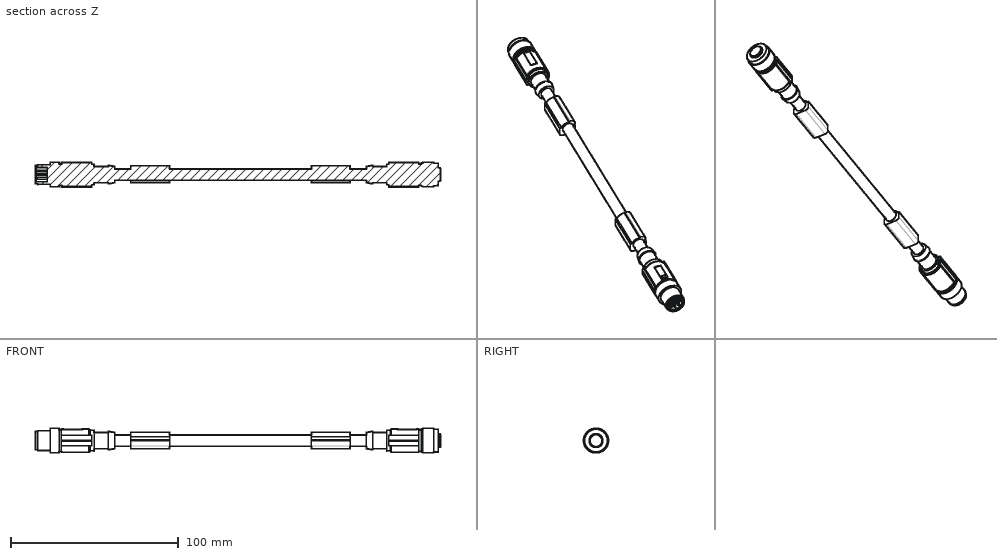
import cadquery as cq
import math


total_length = 241.3
ring_radius = 14.77 / 2
cable_radius = 3.4
cable_embed = 1.0

grip_radius = 7.0
pad_radius = 7.5
pad_half_height = 3.2
pad_groove_width = 0.6
pad_groove_depth = 0.4
pad_overhang = 1.0
grip_end_chamfer = 0.7
window_length = 11.3
window_width = 4.0
window_depth = 0.5
groove_radius = 6.4
shoulder_radius = 6.2
sleeve_radius = 4.9
collar_radius = 5.6

male_thread_radius = 6.0
male_tip_radius = 5.5
male_tip_length = 1.3
male_ring_start = 8.8
male_ring_end = 14.1
male_grip_start = 15.4
male_grip_end = 32.6
male_shoulder_end = 34.9
male_collar_start = 43.4
male_sleeve_end = 47.3
male_window_start = 16.6
arrow_length = 3.0
arrow_width = 3.0
arrow_depth = 0.4

socket_radius = 4.2
socket_depth = 7.0
pin_length = 6.0
pin_radius = 0.5
pin_circle_radius = 2.75
outer_pin_count = 7
first_pin_angle = 270.0
socket_mouth_chamfer = 0.5

female_sleeve_start = 197.1
female_collar_end = 201.0
female_shoulder_start = 209.2
female_grip_start = 211.3
female_grip_end = 228.4
female_flange_start = 229.7
female_ring_start = 230.8
female_ring_end = 237.2
female_lip_end = 240.0
female_lip_radius = 6.8
female_insert_radius = 4.1
female_insert_chamfer = 0.5
female_window_start = 215.9

holder_starts = (56.7, 164.3)
holder_length = 23.2
holder_half_height = 5.0
holder_back = 5.3
holder_front = -4.9
holder_corner_radius = 2.0
holder_label_corner_radius = 3.5
holder_barrel_radius = 4.4
holder_barrel_y = -0.7
holder_barrel_z = 1.5
holder_slot_bottom = 0.0
holder_slot_floor = -3.6
holder_slot_floor_top = 0.6
holder_slot_mouth_top = 2.5


def revolve_profile(points):
    """Turn an outline of (x, radius) points, closed along the axis, about X."""
    start_x = points[0][0]
    end_x = points[-1][0]
    outline = [(start_x, 0)] + points + [(end_x, 0)]
    return cq.Workplane("XY").polyline(outline).close().revolve(360, (0, 0, 0), (1, 0, 0))


def cylinder(start_x, end_x, radius, y=0.0, z=0.0):
    return cq.Workplane("YZ", origin=(start_x, y, z)).circle(radius).extrude(end_x - start_x)


def box(start_x, end_x, y_range, z_range):
    size_y = y_range[1] - y_range[0]
    size_z = z_range[1] - z_range[0]
    corner = (start_x, y_range[0], z_range[0])
    return cq.Workplane("XY").box(end_x - start_x, size_y, size_z, centered=False).translate(corner)


def make_grip(start_x, end_x, rear_direction, window_start):
    """Grip with raised side pads; rear_direction is +1 or -1 along X, toward the cable."""
    body = cylinder(start_x, end_x, grip_radius)
    rear_face = ">X" if rear_direction > 0 else "<X"
    body = body.faces(rear_face).chamfer(grip_end_chamfer)

    pad_start = start_x + min(0, rear_direction) * pad_overhang
    pad_end = end_x + max(0, rear_direction) * pad_overhang
    slab = box(pad_start, pad_end, (-pad_radius, pad_radius), (-pad_half_height, pad_half_height))
    grip = body.union(cylinder(pad_start, pad_end, pad_radius).intersect(slab))

    half_groove = pad_groove_width / 2
    for side in (-1, 1):
        walls = sorted((side * (pad_radius - pad_groove_depth), side * (pad_radius + pad_groove_depth)))
        grip = grip.cut(box(pad_start, pad_end, walls, (-half_groove, half_groove)))

    window_z = (grip_radius - window_depth, grip_radius + window_depth)
    half_window = window_width / 2
    window = box(window_start, window_start + window_length, (-half_window, half_window), window_z)
    return grip.cut(window)


def make_male_connector():
    body = revolve_profile([
        (0, male_tip_radius),
        (male_tip_length, male_tip_radius),
        (male_tip_length, male_thread_radius),
        (male_ring_start, male_thread_radius),
        (male_ring_start, ring_radius),
        (male_ring_end, ring_radius),
        (male_ring_end, groove_radius),
        (male_grip_end, groove_radius),
        (male_grip_end, shoulder_radius),
        (male_shoulder_end, shoulder_radius),
        (male_shoulder_end, sleeve_radius),
        (male_collar_start, sleeve_radius),
        (male_collar_start, collar_radius),
        (male_sleeve_end, sleeve_radius),
    ])
    grip = make_grip(male_grip_start, male_grip_end, 1, male_window_start)
    return cut_pin_socket(cut_arrow(body.union(grip)))


def cut_arrow(body):
    """Triangle sunk into the window floor, pointing at the male tip."""
    arrow_floor = grip_radius - window_depth - arrow_depth
    base_x = male_window_start + arrow_length
    outline = [
        (male_window_start, 0),
        (base_x, -arrow_width / 2),
        (base_x, arrow_width / 2),
    ]
    floor_plane = cq.Workplane("XY", origin=(0, 0, arrow_floor))
    arrow = floor_plane.polyline(outline).close().extrude(window_depth + arrow_depth)
    return body.cut(arrow)


def cut_pin_socket(body):
    body = body.cut(revolve_profile([
        (0, socket_radius + socket_mouth_chamfer),
        (socket_mouth_chamfer, socket_radius),
        (socket_depth, socket_radius),
    ]))
    pin_start = socket_depth - pin_length
    body = body.union(cylinder(pin_start, socket_depth, pin_radius))
    for index in range(outer_pin_count):
        angle = math.radians(first_pin_angle + index * 360 / outer_pin_count)
        y = pin_circle_radius * math.cos(angle)
        z = pin_circle_radius * math.sin(angle)
        body = body.union(cylinder(pin_start, socket_depth, pin_radius, y, z))
    return body


def make_female_connector():
    body = revolve_profile([
        (female_sleeve_start, sleeve_radius),
        (female_collar_end, collar_radius),
        (female_collar_end, sleeve_radius),
        (female_shoulder_start, sleeve_radius),
        (female_shoulder_start, shoulder_radius),
        (female_grip_start, shoulder_radius),
        (female_grip_start, groove_radius),
        (female_flange_start, groove_radius),
        (female_flange_start, grip_radius),
        (female_ring_start, grip_radius),
        (female_ring_start, ring_radius),
        (female_ring_end, ring_radius),
        (female_ring_end, female_lip_radius),
        (female_lip_end, female_lip_radius),
        (female_lip_end, female_insert_radius),
        (total_length - female_insert_chamfer, female_insert_radius),
        (total_length, female_insert_radius - female_insert_chamfer),
    ])
    return body.union(make_grip(female_grip_start, female_grip_end, -1, female_window_start))


def make_label_holder(start_x):
    """Rounded block with a bared upper rear quarter and a slot in its -Y face."""
    end_x = start_x + holder_length
    z_range = (-holder_half_height, holder_half_height)
    block = box(start_x, end_x, (holder_front, holder_back), z_range)
    block = block.edges("|X").edges("<Z").fillet(holder_corner_radius)
    block = block.edges("|X").edges(">Z").edges("<Y").fillet(holder_label_corner_radius)

    quarter_y = (holder_barrel_y, holder_back)
    quarter_z = (holder_barrel_z, holder_half_height)
    block = block.cut(box(start_x, end_x, quarter_y, quarter_z))
    block = block.union(cylinder(start_x, end_x, holder_barrel_radius))

    slot_outline = [
        (holder_front, holder_slot_bottom),
        (holder_slot_floor, holder_slot_bottom),
        (holder_slot_floor, holder_slot_floor_top),
        (holder_front, holder_slot_mouth_top),
    ]
    slot = cq.Workplane("YZ", origin=(start_x, 0, 0)).polyline(slot_outline).close().extrude(holder_length)
    return block.cut(slot)


cable = cylinder(male_sleeve_end - cable_embed, female_sleeve_start + cable_embed, cable_radius)
result = cable.union(make_male_connector()).union(make_female_connector())
for holder_start in holder_starts:
    result = result.union(make_label_holder(holder_start))